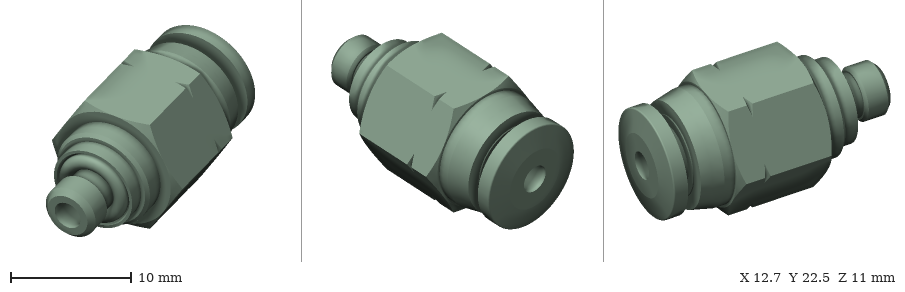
import cadquery as cq
import math

TOTAL_LENGTH = 22.5
BORE_RADIUS = 2.5 / 2

THREAD_RADIUS = 4.84 / 2
TIP_CHAMFER = 0.5
THREAD_END_RADIUS = 4.3 / 2
THREAD_END_CHAMFER = THREAD_RADIUS - THREAD_END_RADIUS
THREAD_LENGTH = 2.6
NECK_RADIUS = 3.95 / 2

O_RING_SECTION_RADIUS = 0.65
O_RING_CENTRE_RADIUS = NECK_RADIUS + O_RING_SECTION_RADIUS
O_RING_Y = 4.28
SEAT_MOUTH_RADIUS = 3.53
SEAT_TAPER = math.radians(30)

SHOULDER_START = 4.1
SHOULDER_RADIUS = 7.6 / 2
COLLAR_START = 5.51
COLLAR_RADIUS = 9.0 / 2
COLLAR_CHAMFER = 0.3

HEX_START = 7.5
HEX_END = 16.54
HEX_ACROSS_FLATS = 11.0
HEX_CORNER_RADIUS = HEX_ACROSS_FLATS / math.sqrt(3)
HEX_CHAMFER_RADIUS = HEX_ACROSS_FLATS / 2
HEX_CHAMFER_ANGLE = math.radians(30)
HEX_CHAMFER_DROP = (HEX_CORNER_RADIUS - HEX_CHAMFER_RADIUS) * math.tan(HEX_CHAMFER_ANGLE)
GROOVE_Y = 14.02
GROOVE_BOTTOM_RADIUS = 5.85
GROOVE_HALF_WIDTH = 0.27

SLEEVE_RADIUS = 10.5 / 2
SLEEVE_TAPER_START = 17.53
SLEEVE_END_RADIUS = 4.8
SLEEVE_END = 19.5
DISC_RADIUS = 7.2 / 2
DISC_END = 19.62
STEM_RADIUS = 5.6 / 2
BUTTON_START = 20.8
BUTTON_RADIUS = 9.85 / 2
BUTTON_CONE_START = 22.1
BUTTON_FACE_RADIUS = 2.85
BUTTON_EDGE_RADIUS = 0.14


def revolve_profile(points):
    """Turn a closed (radius, y) profile about the Y axis."""
    return cq.Workplane("XY").polyline(points).close().revolve(360, (0, 0, 0), (0, 1, 0))


def make_front():
    """Threaded tip, neck, O-ring seat and stepped shoulder."""
    seat_floor = O_RING_Y + O_RING_SECTION_RADIUS
    seat_floor_radius = SEAT_MOUTH_RADIUS - (seat_floor - SHOULDER_START) * math.tan(SEAT_TAPER)
    return revolve_profile([
        (0, 0),
        (THREAD_RADIUS - TIP_CHAMFER, 0),
        (THREAD_RADIUS, TIP_CHAMFER),
        (THREAD_RADIUS, THREAD_LENGTH - THREAD_END_CHAMFER),
        (THREAD_END_RADIUS, THREAD_LENGTH),
        (NECK_RADIUS, THREAD_LENGTH),
        (NECK_RADIUS, seat_floor),
        (seat_floor_radius, seat_floor),
        (SEAT_MOUTH_RADIUS, SHOULDER_START),
        (SHOULDER_RADIUS, SHOULDER_START),
        (SHOULDER_RADIUS, COLLAR_START),
        (COLLAR_RADIUS - COLLAR_CHAMFER, COLLAR_START),
        (COLLAR_RADIUS, COLLAR_START + COLLAR_CHAMFER),
        (COLLAR_RADIUS, HEX_START),
        (0, HEX_START),
    ])


def make_hexagon():
    """Hexagon with corners on the X axis, trimmed by a turned envelope."""
    hexagon = (
        cq.Workplane("XZ", origin=(0, HEX_START, 0))
        .polygon(6, 2 * HEX_CORNER_RADIUS)
        .extrude(HEX_START - HEX_END)
    )
    clearance = 0.02
    envelope_radius = HEX_CORNER_RADIUS + clearance
    chamfer_drop = HEX_CHAMFER_DROP + clearance * math.tan(HEX_CHAMFER_ANGLE)
    groove_slope = GROOVE_HALF_WIDTH / (HEX_CORNER_RADIUS - GROOVE_BOTTOM_RADIUS)
    groove_half_width = GROOVE_HALF_WIDTH + clearance * groove_slope
    envelope = revolve_profile([
        (0, HEX_START),
        (HEX_CHAMFER_RADIUS, HEX_START),
        (envelope_radius, HEX_START + chamfer_drop),
        (envelope_radius, GROOVE_Y - groove_half_width),
        (GROOVE_BOTTOM_RADIUS, GROOVE_Y),
        (envelope_radius, GROOVE_Y + groove_half_width),
        (envelope_radius, HEX_END - chamfer_drop),
        (HEX_CHAMFER_RADIUS, HEX_END),
        (0, HEX_END),
    ])
    return hexagon.intersect(envelope)


def make_rear():
    """Tapered sleeve, stem and release button with a rounded outer edge."""
    rear = revolve_profile([
        (0, HEX_END),
        (SLEEVE_RADIUS, HEX_END),
        (SLEEVE_RADIUS, SLEEVE_TAPER_START),
        (SLEEVE_END_RADIUS, SLEEVE_END),
        (DISC_RADIUS, SLEEVE_END),
        (DISC_RADIUS, DISC_END),
        (STEM_RADIUS, DISC_END),
        (STEM_RADIUS, BUTTON_START),
        (BUTTON_RADIUS, BUTTON_START),
        (BUTTON_RADIUS, BUTTON_CONE_START),
        (BUTTON_FACE_RADIUS, TOTAL_LENGTH),
        (0, TOTAL_LENGTH),
    ])
    button_rim = cq.selectors.BoxSelector(
        (-BUTTON_RADIUS, BUTTON_CONE_START - BUTTON_EDGE_RADIUS, -BUTTON_RADIUS),
        (BUTTON_RADIUS, BUTTON_CONE_START + BUTTON_EDGE_RADIUS, BUTTON_RADIUS),
    )
    return rear.edges("%CIRCLE").edges(button_rim).fillet(BUTTON_EDGE_RADIUS)


def make_fitting():
    """Complete fitting with its through bore."""
    bore = cq.Workplane("XZ").circle(BORE_RADIUS).extrude(-TOTAL_LENGTH)
    return make_front().union(make_hexagon()).union(make_rear()).cut(bore)


def make_o_ring():
    """O-ring around the neck, resting on the floor of its seat."""
    return (
        cq.Workplane("XY")
        .center(O_RING_CENTRE_RADIUS, O_RING_Y)
        .circle(O_RING_SECTION_RADIUS)
        .revolve(360, (-O_RING_CENTRE_RADIUS, 0, 0), (-O_RING_CENTRE_RADIUS, 1, 0))
    )


fitting = make_fitting()
o_ring = make_o_ring()

result = cq.Compound.makeCompound([fitting.solids().val(), o_ring.val()])